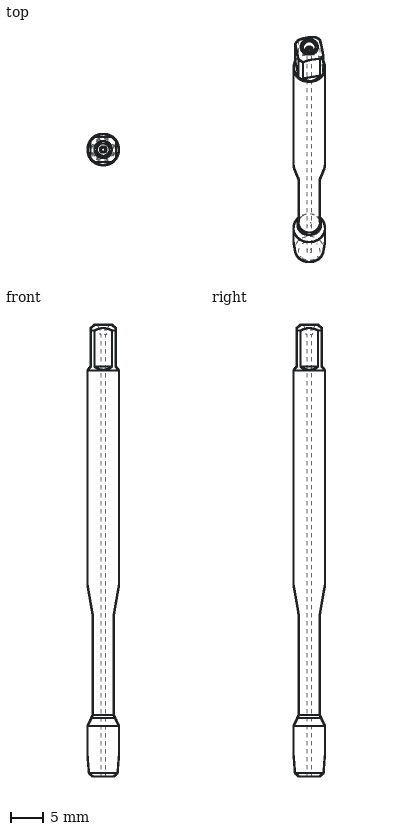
import cadquery as cq
import math

total_length = 70.0
shank_diameter = 4.9
neck_diameter = 3.3

tip_chamfer_top = 0.55
lead_top = 3.2
head_top = 7.85
neck_bottom = 9.5
neck_top = 25.0
taper_top = 29.6
drive_bottom = 62.85

tip_diameter = 3.3
lead_diameter = 4.5
split_level = 9.1

drive_diameter = 4.75
across_flats = 3.9
flat_bottom = 63.5
runout_angle = 40.0
end_diameter = 2.65
end_chamfer_height = 0.9

hole_diameter = 0.7
pilot_diameter = 1.0
pilot_length = 0.7
recess_diameter = 1.95
recess_angle = 60.0

shank_radius = shank_diameter / 2
neck_radius = neck_diameter / 2
back_cone_slope = (shank_radius - neck_radius) / (neck_bottom - head_top)
split_radius = neck_radius + (neck_bottom - split_level) * back_cone_slope


def revolve_profile(points):
    """Turn a closed (radius, height) outline about the Z axis."""
    return cq.Workplane("XZ").polyline(points).close().revolve(360, (0, 0), (0, 1))


def make_axial_hole():
    return cq.Workplane("XY").circle(hole_diameter / 2).extrude(total_length)


def make_cutting_head():
    head = revolve_profile([
        (0, 0),
        (tip_diameter / 2, 0),
        (lead_diameter / 2, tip_chamfer_top),
        (shank_radius, lead_top),
        (shank_radius, head_top),
        (split_radius, split_level),
        (0, split_level),
    ])
    return head.cut(make_axial_hole())


def make_shank_blank():
    return revolve_profile([
        (0, split_level),
        (split_radius, split_level),
        (neck_radius, neck_bottom),
        (neck_radius, neck_top),
        (shank_radius, taper_top),
        (shank_radius, drive_bottom),
        (drive_diameter / 2, drive_bottom),
        (drive_diameter / 2, total_length - end_chamfer_height),
        (end_diameter / 2, total_length),
        (0, total_length),
    ])


def make_flat_cutter():
    """Wedge that mills the +X flat and its sloping run-out."""
    inner = across_flats / 2
    outer = shank_diameter
    runout_bottom = flat_bottom - (outer - inner) / math.tan(math.radians(runout_angle))
    profile = [
        (inner, total_length),
        (inner, flat_bottom),
        (outer, runout_bottom),
        (outer, total_length),
    ]
    return cq.Workplane("XZ").polyline(profile).close().extrude(shank_radius, both=True)


def make_centre_recess():
    """Conical recess in the drive end with a short pilot bore below it."""
    recess_radius = recess_diameter / 2
    pilot_radius = pilot_diameter / 2
    cone_depth = (recess_radius - pilot_radius) / math.tan(math.radians(recess_angle / 2))
    cone_bottom = total_length - cone_depth
    return revolve_profile([
        (0, total_length),
        (recess_radius, total_length),
        (pilot_radius, cone_bottom),
        (pilot_radius, cone_bottom - pilot_length),
        (0, cone_bottom - pilot_length),
    ])


def make_shank():
    shank = make_shank_blank()
    flat_cutter = make_flat_cutter()
    for quarter in range(4):
        shank = shank.cut(flat_cutter.rotate((0, 0, 0), (0, 0, 1), 90 * quarter))
    return shank.cut(make_centre_recess()).cut(make_axial_hole())


cutting_head = make_cutting_head()
shank = make_shank()

result = cq.Compound.makeCompound([cutting_head.val(), shank.val()])